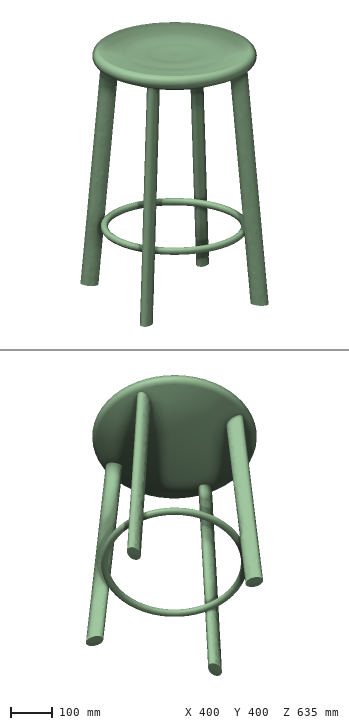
import cadquery as cq
import math

height = 635.0
seat_radius = 200.0
dish_radius = 185.0
dish_depth = 13.0
rim_height = 32.0
bowl_radius = 190.5
bowl_bottom = 558.0

leg_count = 4
leg_first_angle = 45.0
leg_width = 30.0
leg_depth = 45.0
leg_foot_radius = 218.0
leg_slope = 0.09

ring_z = 174.5
ring_thickness = 18.0

rim_bottom = height - rim_height
rim_middle = height - rim_height / 2
leg_top_z = rim_bottom + 6.5
leg_top_radius = leg_foot_radius - leg_slope * leg_top_z
leg_inner_radius = leg_foot_radius - leg_slope * ring_z - leg_depth / 2
ring_center_radius = leg_inner_radius - ring_thickness / 2 * math.hypot(1, leg_slope)


def arc_sag(radius, depth, r):
    """Height above the lowest point, at r, of a circular arc with this rim radius and depth."""
    sphere_radius = (radius**2 + depth**2) / (2 * depth)
    return sphere_radius - math.sqrt(sphere_radius**2 - r**2)


def make_seat():
    """Revolved seat: bowl, rounded rim and dished top."""
    bowl_middle = bowl_radius / 2
    bowl_middle_z = bowl_bottom + arc_sag(bowl_radius, rim_bottom - bowl_bottom, bowl_middle)
    dish_middle = dish_radius / 2
    dish_bottom = height - dish_depth
    dish_middle_z = dish_bottom + arc_sag(dish_radius, dish_depth, dish_middle)
    return (
        cq.Workplane("XZ")
        .moveTo(0, bowl_bottom)
        .threePointArc((bowl_middle, bowl_middle_z), (bowl_radius, rim_bottom))
        .threePointArc((seat_radius, rim_middle), (dish_radius, height))
        .threePointArc((dish_middle, dish_middle_z), (0, dish_bottom))
        .close()
        .revolve(360, (0, 0, 0), (0, 1, 0))
    )


def make_leg(angle):
    """Leaning leg with horizontal ends; its long section axis points at the stool axis."""
    leg = (
        cq.Workplane("XY")
        .center(leg_foot_radius, 0)
        .ellipse(leg_depth / 2, leg_width / 2)
        .workplane(offset=leg_top_z)
        .center(leg_top_radius - leg_foot_radius, 0)
        .ellipse(leg_depth / 2, leg_width / 2)
        .loft(ruled=True)
    )
    return leg.rotate((0, 0, 0), (0, 0, 1), angle)


def make_stool():
    """Seat and legs as one body."""
    stool = make_seat()
    for index in range(leg_count):
        stool = stool.union(make_leg(leg_first_angle + index * 360 / leg_count))
    return stool


def make_footrest():
    """Round ring, revolved about the stool axis."""
    return (
        cq.Workplane("XZ")
        .center(ring_center_radius, ring_z)
        .circle(ring_thickness / 2)
        .revolve(360, (-ring_center_radius, 0, 0), (-ring_center_radius, 1, 0))
    )


stool = make_stool()
footrest = make_footrest()

result = cq.Compound.makeCompound([stool.val(), footrest.val()])